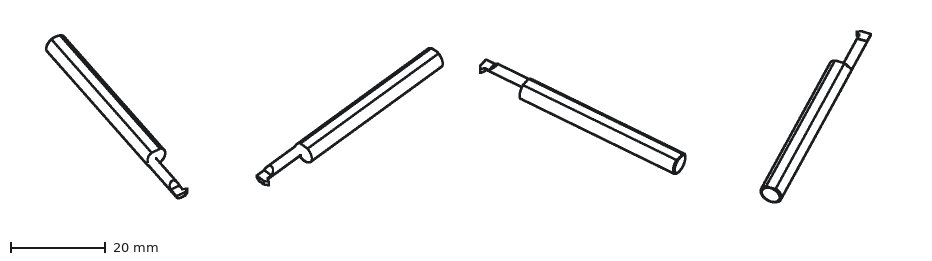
import cadquery as cq

length = 50.8
shank_radius = 2.4
shank_length = 39.1
shank_height = 4.5
end_chamfer_length = 0.2
end_chamfer_depth = 0.35

neck_radius = 1.1
neck_offset = 1.3
root_fillet = 0.6

blade_z = 0.0
blade_start = 48.55
tooth_start = 49.7
tooth_tip_x = 50.25
tooth_tip_y = 0.7

flat_z = shank_height - shank_radius
neck_edge_y = neck_radius - neck_offset
cut_size = 2 * shank_radius


def make_shank():
    """Round bar with a cone-shaped end chamfer and a flat along the top."""
    bar = (
        cq.Workplane("XY")
        .moveTo(0, 0)
        .lineTo(0, shank_radius - end_chamfer_depth)
        .lineTo(end_chamfer_length, shank_radius)
        .lineTo(shank_length, shank_radius)
        .lineTo(shank_length, 0)
        .close()
        .revolve(360, (0, 0, 0), (1, 0, 0))
    )
    above_flat = cq.Workplane("XY").workplane(offset=flat_z).rect(2 * length, cut_size).extrude(cut_size)
    return bar.cut(above_flat)


def make_neck():
    """Offset round neck with a filleted root, trimmed to the shank's circle."""
    root_x = shank_length + root_fillet
    neck = (
        cq.Workplane("XY", origin=(0, -neck_offset, 0))
        .moveTo(shank_length, 0)
        .lineTo(shank_length, neck_radius + root_fillet)
        .radiusArc((root_x, neck_radius), -root_fillet)
        .lineTo(length, neck_radius)
        .lineTo(length, 0)
        .close()
        .revolve(360, (0, 0, 0), (1, 0, 0))
    )
    envelope = cq.Workplane("YZ").circle(shank_radius).extrude(length)
    return neck.intersect(envelope)


def make_blade_relief():
    """Material above the cutting face, ending in a 45 degree runout."""
    return (
        cq.Workplane("XZ")
        .moveTo(blade_start, blade_z)
        .lineTo(length, blade_z)
        .lineTo(length, blade_z + cut_size)
        .lineTo(blade_start - cut_size, blade_z + cut_size)
        .close()
        .extrude(cut_size, both=True)
    )


def make_tooth():
    """Pointed tooth on the +Y edge, as deep as the blade."""
    return (
        cq.Workplane("XY", origin=(0, 0, blade_z))
        .moveTo(tooth_start, -neck_offset)
        .lineTo(tooth_start, neck_edge_y)
        .lineTo(tooth_tip_x, tooth_tip_y)
        .lineTo(length, neck_edge_y)
        .lineTo(length, -neck_offset)
        .close()
        .extrude(-neck_radius)
    )


blade = make_neck().cut(make_blade_relief()).union(make_tooth())
result = make_shank().union(blade)